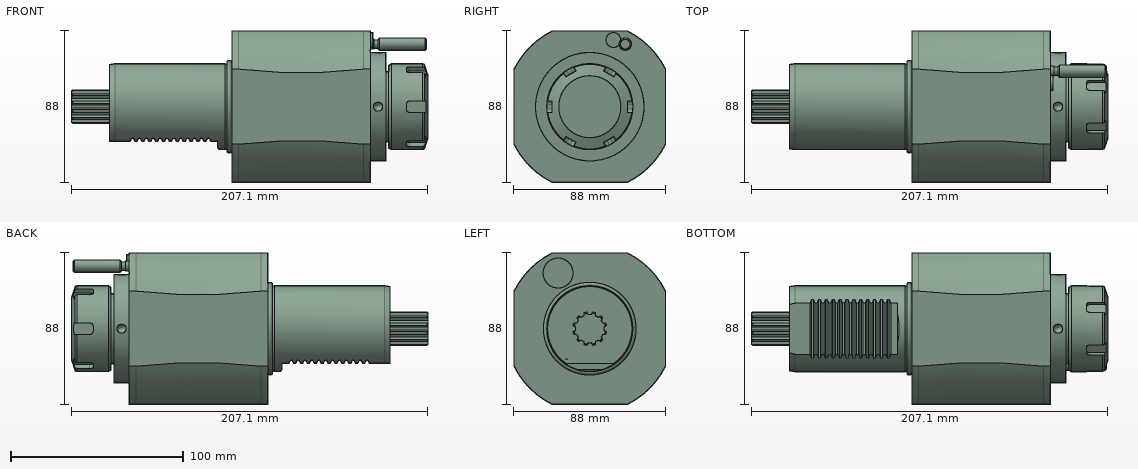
import cadquery as cq
import math


body_length = 80.5
body_flats = 88.0
body_end_radius = 49.1
body_waist_radius = 48.2
body_end_land = 4.0

shank_length = 71.0
shank_radius = 25.0
shank_lead_length = 3.2
shank_lead_radius = 24.5
shank_root_chamfer_length = 1.0
shank_root_chamfer_depth = 0.4
flat_depth = 20.1
flat_end_x = -8.3
lug_chamfer_length = 1.0
lug_chamfer_height = 1.4
tooth_count = 12
tooth_pitch = 4.0
first_tooth_x = -57.6
tooth_gap_depth = 1.7
tooth_gap_mouth = 2.8
tooth_gap_root = 1.0

ring_width = 2.8
ring_radius = 26.9
ring_crest_x = -1.1

spline_length = 22.1
spline_count = 12
spline_tip_radius = 9.8
spline_root_radius = 8.2
spline_tip_width = 1.6
spline_root_width = 2.9
spline_end_chamfer = 0.8

flange_thickness = 8.9
flange_radius = 31.5
spanner_hole_x = body_length + 4.4
spanner_hole_radius = 2.7
spanner_hole_count = 4

nut_gap = 1.7
nut_length = 22.9
nut_radius = 25.0
nut_neck_radius = 20.4
nut_rear_radius = 24.0
nut_rear_chamfer_length = 1.5
nut_shoulder_setback = 2.2
nut_shoulder_length = 1.0
nut_shoulder_radius = 24.6
nut_face_radius = 18.0
nut_slot_count = 6
nut_slot_width = 6.8
nut_slot_length = 12.7
nut_slot_floor = 22.0
nut_slot_corner = 2.2

pin_y = 20.6
pin_z = 36.3
pin_radius = 3.6
pin_collar_radius = 2.9
pin_collar_length = 2.0
pin_neck_radius = 2.55
pin_neck_length = 4.5
pin_length = 32.5
pin_chamfer = 0.8

screw_y = 13.7
screw_z = 38.7
screw_radius = 4.3
screw_height = 1.4

recess_y = 18.4
recess_z = 32.3
recess_radius = 8.7
recess_depth = 0.6

flange_front = body_length + flange_thickness
nut_rear = flange_front + nut_gap
nut_front = nut_rear + nut_length


def rod(x_start, length, radius, y=0.0, z=0.0):
    """Cylinder along +X whose rear end is at x_start."""
    return cq.Workplane("YZ", origin=(x_start, y, z)).circle(radius).extrude(length)


def turned(points):
    """Solid of revolution about X from (x, radius) points."""
    outline = [(points[0][0], 0)] + points + [(points[-1][0], 0)]
    return cq.Workplane("XY").polyline(outline).close().revolve(360, (0, 0, 0), (1, 0, 0))


def make_body():
    waisted = (
        cq.Workplane("XY")
        .moveTo(0, 0)
        .lineTo(0, body_end_radius)
        .lineTo(body_end_land, body_end_radius)
        .threePointArc(
            (body_length / 2, body_waist_radius),
            (body_length - body_end_land, body_end_radius),
        )
        .lineTo(body_length, body_end_radius)
        .lineTo(body_length, 0)
        .close()
        .revolve(360, (0, 0, 0), (1, 0, 0))
    )
    block = cq.Workplane("XY").box(body_length, body_flats, body_flats, centered=(False, True, True))
    recess = rod(0, recess_depth, recess_radius, recess_y, recess_z)
    return waisted.intersect(block).cut(recess)


def make_shank():
    shank = turned([
        (-shank_length, shank_lead_radius),
        (shank_lead_length - shank_length, shank_radius),
        (-ring_width - shank_root_chamfer_length, shank_radius),
        (-ring_width, shank_radius - shank_root_chamfer_depth),
        (0, shank_radius - shank_root_chamfer_depth),
    ])
    wall_foot = shank_radius - lug_chamfer_height
    below = shank_radius + lug_chamfer_height
    flat = (
        cq.Workplane("XZ")
        .moveTo(-shank_length, -flat_depth)
        .lineTo(flat_end_x, -flat_depth)
        .lineTo(flat_end_x, -wall_foot)
        .lineTo(flat_end_x + 2 * lug_chamfer_length, -below)
        .lineTo(-shank_length, -below)
        .close()
        .extrude(shank_radius, both=True)
    )
    shank = shank.cut(flat)
    for index in range(tooth_count):
        x = first_tooth_x + index * tooth_pitch
        gap = (
            cq.Workplane("XZ")
            .moveTo(x - tooth_gap_mouth / 2, -flat_depth)
            .lineTo(x - tooth_gap_root / 2, tooth_gap_depth - flat_depth)
            .lineTo(x + tooth_gap_root / 2, tooth_gap_depth - flat_depth)
            .lineTo(x + tooth_gap_mouth / 2, -flat_depth)
            .close()
            .extrude(shank_radius, both=True)
        )
        shank = shank.cut(gap)
    return shank


def make_seal_ring():
    return (
        cq.Workplane("XY")
        .moveTo(-ring_width, 0)
        .lineTo(-ring_width, shank_radius)
        .threePointArc((ring_crest_x, ring_radius), (0, shank_radius))
        .lineTo(0, 0)
        .close()
        .revolve(360, (0, 0, 0), (1, 0, 0))
    )


def make_spline():
    rear = -shank_length - spline_length
    spline = rod(rear, spline_length, spline_root_radius)
    inner = spline_root_radius - spline_end_chamfer
    for index in range(spline_count):
        tooth = (
            cq.Workplane("YZ", origin=(rear, 0, 0))
            .moveTo(-spline_root_width / 2, inner)
            .lineTo(-spline_tip_width / 2, spline_tip_radius)
            .lineTo(spline_tip_width / 2, spline_tip_radius)
            .lineTo(spline_root_width / 2, inner)
            .close()
            .extrude(spline_length)
        )
        angle = (index + 0.5) * 360 / spline_count
        spline = spline.union(tooth.rotate((0, 0, 0), (1, 0, 0), angle))
    tip_corner_radius = math.hypot(spline_tip_radius, spline_tip_width / 2)
    envelope = turned([
        (rear, tip_corner_radius - spline_end_chamfer),
        (rear + spline_end_chamfer, tip_corner_radius),
        (-shank_length, tip_corner_radius),
    ])
    return spline.intersect(envelope)


def make_flange():
    flange = rod(body_length, flange_thickness, flange_radius)
    hole = cq.Workplane(cq.Solid.makeCone(
        0, 2 * spanner_hole_radius, 2 * spanner_hole_radius,
        cq.Vector(spanner_hole_x, 0, flange_radius - spanner_hole_radius),
        cq.Vector(0, 0, 1),
    ))
    for index in range(spanner_hole_count):
        angle = index * 360 / spanner_hole_count
        flange = flange.cut(hole.rotate((0, 0, 0), (1, 0, 0), angle))
    return flange


def make_nut():
    nut = turned([
        (flange_front, nut_neck_radius),
        (nut_rear, nut_neck_radius),
        (nut_rear, nut_rear_radius),
        (nut_rear + nut_rear_chamfer_length, nut_radius),
        (nut_front - nut_shoulder_setback - nut_shoulder_length, nut_radius),
        (nut_front - nut_shoulder_setback, nut_shoulder_radius),
        (nut_front, nut_face_radius),
    ])
    slot = (
        cq.Workplane("XY", origin=(nut_front - nut_slot_length, 0, nut_slot_floor))
        .box(2 * nut_slot_length, nut_slot_width, nut_radius, centered=(False, True, False))
        .edges("|Z and <X")
        .fillet(nut_slot_corner)
    )
    for index in range(nut_slot_count):
        angle = 90 + index * 360 / nut_slot_count
        nut = nut.cut(slot.rotate((0, 0, 0), (1, 0, 0), angle))
    return nut


def make_pin():
    neck = rod(body_length, pin_neck_length, pin_neck_radius, pin_y, pin_z)
    collar = rod(body_length, pin_collar_length, pin_collar_radius, pin_y, pin_z)
    shaft = rod(body_length + pin_neck_length, pin_length - pin_neck_length, pin_radius, pin_y, pin_z)
    return neck.union(collar).union(shaft.faces("<X or >X").chamfer(pin_chamfer))


def make_screw_head():
    return rod(body_length, screw_height, screw_radius, screw_y, screw_z)


result = make_body()
for piece in (
    make_shank(),
    make_seal_ring(),
    make_spline(),
    make_flange(),
    make_nut(),
    make_pin(),
    make_screw_head(),
):
    result = result.union(piece)